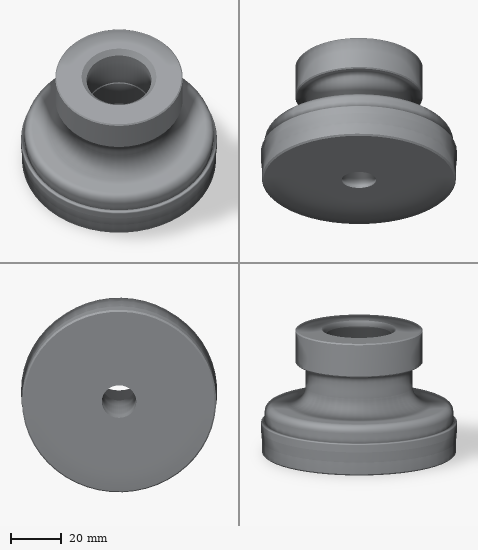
import cadquery as cq
import math

total_height = 50.0
bore_diameter = 13.5
bore_radius = bore_diameter / 2

pad_height = 12.9
pad_radius = 38.45
pad_bottom_radius = 38.05
pad_lower_wall_top = 5.4
pad_band_bottom = 9.5
pad_top_round = 0.45
pad_bottom_chamfer = 0.6

flange_radius = 37.02
flange_round = 3.0
flange_round_start = 16.8
flange_slope = math.radians(1.5)

neck_radius = 42.0 / 2
neck_root_radius = 7.0
neck_top_fillet = 1.4
collar_radius = 50.0 / 2
collar_bottom = 36.45
collar_chamfer = 0.45

socket_radius = 25.45 / 2
socket_mouth_chamfer = 1.9
socket_ledge = 32.05
lower_socket_radius = 12.15
socket_floor = 20.0


def make_pad():
    """Revolve the foot ring, with the bore through its middle."""
    return (
        cq.Workplane("XZ")
        .moveTo(bore_radius, 0)
        .lineTo(pad_bottom_radius - pad_bottom_chamfer, 0)
        .lineTo(pad_bottom_radius, pad_bottom_chamfer)
        .lineTo(pad_bottom_radius, pad_lower_wall_top)
        .spline([(pad_radius, pad_band_bottom)], tangents=[(0, 1), (0, 1)], includeCurrent=True)
        .lineTo(pad_radius, pad_height - pad_top_round)
        .radiusArc((pad_radius - pad_top_round, pad_height), -pad_top_round)
        .lineTo(bore_radius, pad_height)
        .close()
        .revolve(360, (0, 0, 0), (0, 1, 0))
    )


def make_knob_blank():
    """Revolve the solid outside shape of flange, neck and collar."""
    slope_sin = math.sin(flange_slope)
    slope_cos = math.cos(flange_slope)
    flange_round_center = flange_radius - flange_round
    slope_outer = (
        flange_round_center + flange_round * slope_sin,
        flange_round_start + flange_round * slope_cos,
    )
    root_center_x = neck_radius + neck_root_radius
    slope_inner_x = root_center_x - neck_root_radius * slope_sin
    slope_rise = (slope_outer[0] - slope_inner_x) * math.tan(flange_slope)
    slope_inner = (slope_inner_x, slope_outer[1] + slope_rise)
    root_top = slope_inner[1] + neck_root_radius * slope_cos

    return (
        cq.Workplane("XZ")
        .moveTo(0, pad_height)
        .lineTo(flange_radius, pad_height)
        .lineTo(flange_radius, flange_round_start)
        .radiusArc(slope_outer, -flange_round)
        .lineTo(*slope_inner)
        .radiusArc((neck_radius, root_top), neck_root_radius)
        .lineTo(neck_radius, collar_bottom - neck_top_fillet)
        .radiusArc((neck_radius + neck_top_fillet, collar_bottom), neck_top_fillet)
        .lineTo(collar_radius - collar_chamfer, collar_bottom)
        .lineTo(collar_radius, collar_bottom + collar_chamfer)
        .lineTo(collar_radius, total_height - collar_chamfer)
        .lineTo(collar_radius - collar_chamfer, total_height)
        .lineTo(0, total_height)
        .close()
        .revolve(360, (0, 0, 0), (0, 1, 0))
    )


def make_socket_cutter():
    """Revolve the through bore, the stepped socket and its mouth chamfer."""
    return (
        cq.Workplane("XZ")
        .moveTo(0, pad_height)
        .lineTo(bore_radius, pad_height)
        .lineTo(bore_radius, socket_floor)
        .lineTo(lower_socket_radius, socket_floor)
        .lineTo(lower_socket_radius, socket_ledge)
        .lineTo(socket_radius, socket_ledge)
        .lineTo(socket_radius, total_height - socket_mouth_chamfer)
        .lineTo(socket_radius + socket_mouth_chamfer, total_height)
        .lineTo(0, total_height)
        .close()
        .revolve(360, (0, 0, 0), (0, 1, 0))
    )


pad = make_pad()
knob = make_knob_blank().cut(make_socket_cutter())

result = cq.Compound.makeCompound([pad.val(), knob.val()])